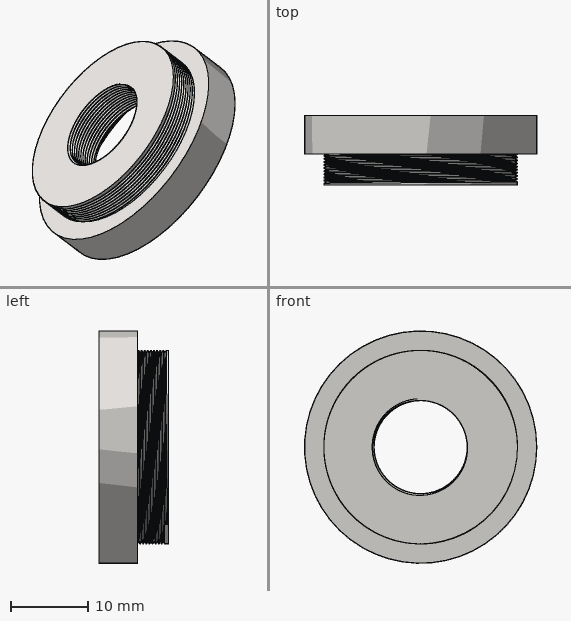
import cadquery as cq

flange_diameter = 30.0
total_depth = 9.0
flange_thickness = total_depth * 5 / 9
boss_length = total_depth - flange_thickness
boss_radius = flange_diameter / 2 * 5 / 6
bore_radius = flange_diameter / 5

recess_radius = boss_radius
threaded_length = 5.0
recess_depth = total_depth - threaded_length

thread_pitch = flange_diameter / 75
groove_depth = 0.65 * thread_pitch
flat_share = 1 / 8
overlap = 0.015
thread_land = 0.12
trim_length = 2 * thread_pitch
sleeve_radius = bore_radius * 1.5
seam_offset = 127


def cylinder(radius, start, length):
    """Solid cylinder along Z, starting at the given height."""
    return cq.Workplane("XY").workplane(offset=start).circle(radius).extrude(length)


def groove_cutter(crest_radius, direction, start, length):
    """Helical trapezoid; direction is +1 to cut outward from a bore, -1 to cut into a shaft."""
    root_half = thread_pitch * flat_share / 2
    crest_half = thread_pitch * (1 - flat_share) / 2
    flank_slope = (crest_half - root_half) / groove_depth
    mouth_half = crest_half + flank_slope * overlap
    mouth_radius = crest_radius - direction * overlap
    root_radius = crest_radius + direction * groove_depth
    section = (
        cq.Workplane("XZ")
        .moveTo(mouth_radius, -mouth_half)
        .lineTo(root_radius, -root_half)
        .lineTo(root_radius, root_half)
        .lineTo(mouth_radius, mouth_half)
        .close()
    )
    path = cq.Workplane(obj=cq.Wire.makeHelix(thread_pitch, length, crest_radius))
    cutter = section.sweep(path, isFrenet=True)
    return cutter.rotate((0, 0, 0), (0, 0, 1), seam_offset).translate((0, 0, start))


groove_start = thread_land + thread_pitch / 2
bar_length = boss_length + 2 * trim_length
bar = cylinder(boss_radius, 0, bar_length)
bar = bar.cut(groove_cutter(boss_radius, -1, groove_start, boss_length))
boss = bar.intersect(cylinder(flange_diameter, 0, boss_length))

sleeve_length = threaded_length + 4 * trim_length
sleeve = cylinder(sleeve_radius, -2 * trim_length, sleeve_length)
sleeve = sleeve.cut(cylinder(bore_radius, -2 * trim_length, sleeve_length))
bore_groove_length = threaded_length + 2 * trim_length
sleeve = sleeve.cut(groove_cutter(bore_radius, 1, -trim_length, bore_groove_length))
sleeve = sleeve.intersect(cylinder(flange_diameter, 0, threaded_length))

body = boss.union(cylinder(flange_diameter / 2, boss_length, flange_thickness))
body = body.cut(cylinder(recess_radius, threaded_length, recess_depth))
body = body.cut(cylinder(sleeve_radius, 0, threaded_length))
body = body.union(sleeve)

result = body.rotate((0, 0, 0), (1, 0, 0), -90).translate((0, -total_depth / 2, 0))